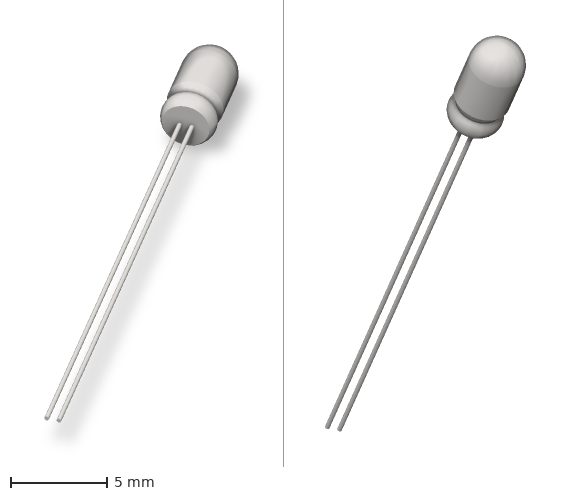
import cadquery as cq
import math


body_diameter = 3.05
overall_length = 31.37
head_length = 6.0
bead_length = 1.23
dome_radius = 1.5
taper_length = 0.56
neck_radius = 1.27
lead_diameter = 0.25
lead_pitch = 0.66

body_radius = body_diameter / 2
lead_length = overall_length - head_length
bulb_barrel_start = bead_length + taper_length
bulb_barrel_end = head_length - dome_radius
dome_flat_radius = body_radius - dome_radius
dome_mid_offset = dome_radius * math.sqrt(0.5)


def make_bulb():
    """Glass bulb: rounded dome, straight barrel and short cone down to the neck."""
    profile = (
        cq.Workplane("XY")
        .moveTo(0, bead_length)
        .lineTo(neck_radius, bead_length)
        .lineTo(body_radius, bulb_barrel_start)
        .lineTo(body_radius, bulb_barrel_end)
        .threePointArc(
            (dome_flat_radius + dome_mid_offset, bulb_barrel_end + dome_mid_offset),
            (dome_flat_radius, head_length),
        )
        .lineTo(0, head_length)
        .close()
    )
    return profile.revolve(360, (0, 0, 0), (0, 1, 0))


def make_bead():
    """Sealing bead: a disc with a bulging rim, behind the bulb neck."""
    profile = (
        cq.Workplane("XY")
        .lineTo(neck_radius, 0)
        .threePointArc((body_radius, bead_length / 2), (neck_radius, bead_length))
        .lineTo(0, bead_length)
        .close()
    )
    return profile.revolve(360, (0, 0, 0), (0, 1, 0))


def make_lead(x):
    """Straight round lead wire running to -Y from the flat face of the bead."""
    return (
        cq.Workplane("XZ")
        .center(x, 0)
        .circle(lead_diameter / 2)
        .extrude(lead_length)
    )


bulb = make_bulb()
bead = make_bead()
leads = [make_lead(side * lead_pitch / 2) for side in (-1, 1)]

result = cq.Compound.makeCompound([bulb.val(), bead.val(), *[lead.val() for lead in leads]])